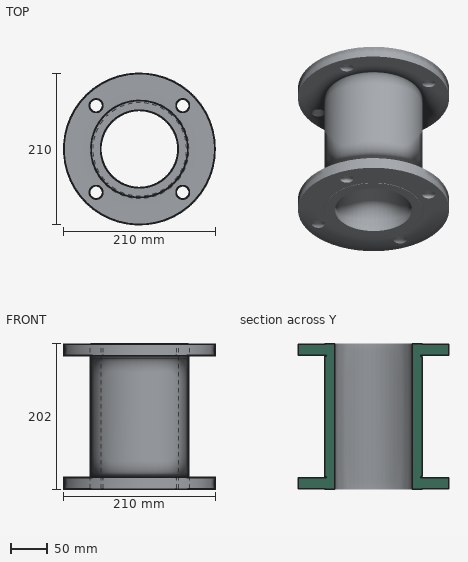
import cadquery as cq

total_height = 202.0
flange_diameter = 210.0
flange_thickness = 16.2

raised_face_diameter = 134.5
raised_face_height = 0.5

tube_diameter = 136.5
tube_round_radius = 3.4
bore_diameter = 107.0

bolt_hole_diameter = 18.0
bolt_circle_diameter = 170.0
bolt_hole_count = 4
first_hole_angle = 45.0

half_height = total_height / 2
flange_outer_z = half_height - raised_face_height
flange_inner_z = flange_outer_z - flange_thickness


def tube():
    """Solid cylinder between the flanges, rounded at both ends."""
    return (
        cq.Workplane("XY", origin=(0, 0, -flange_inner_z))
        .circle(tube_diameter / 2)
        .extrude(2 * flange_inner_z)
        .edges()
        .fillet(tube_round_radius)
    )


def upper_flange():
    """Flange disc with its raised face on top."""
    return (
        cq.Workplane("XY", origin=(0, 0, flange_inner_z))
        .circle(flange_diameter / 2)
        .extrude(flange_thickness)
        .faces(">Z")
        .workplane()
        .circle(raised_face_diameter / 2)
        .extrude(raised_face_height)
    )


def bore():
    """Cylinder along the axis through the whole part."""
    return (
        cq.Workplane("XY", origin=(0, 0, -half_height))
        .circle(bore_diameter / 2)
        .extrude(total_height)
    )


def bolt_holes():
    """Cylinders through both flanges, on the bolt circle."""
    return (
        cq.Workplane("XY", origin=(0, 0, -half_height))
        .polarArray(bolt_circle_diameter / 2, first_hole_angle, 360, bolt_hole_count)
        .circle(bolt_hole_diameter / 2)
        .extrude(total_height)
    )


lower_flange = upper_flange().mirror("XY")
spool = tube().union(upper_flange()).union(lower_flange)
result = spool.cut(bore()).cut(bolt_holes())